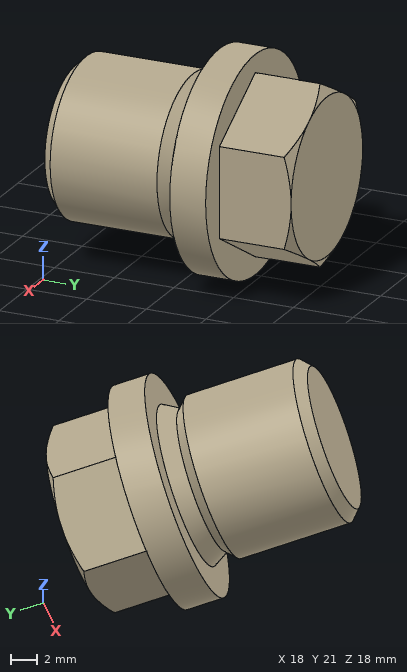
import cadquery as cq
import math


thread_diameter = 13.16
thread_core_diameter = 11.45
shank_length = 12.0
relief_root_diameter = 13.0
relief_angle = 30.0

flange_diameter = 18.0
flange_thickness = 3.0

head_sides = 6
head_across_flats = 13.0
head_height = 6.0
head_chamfer_angle = 30.0

thread_radius = thread_diameter / 2
core_radius = thread_core_diameter / 2
thread_chamfer = thread_radius - core_radius
relief_root_radius = relief_root_diameter / 2
relief_length = (relief_root_radius - core_radius) / math.tan(math.radians(relief_angle))
head_end = flange_thickness + head_height


def revolve_about_y(profile_points):
    """Turn a closed (radius, Y) outline about the Y axis."""
    profile = cq.Workplane("XY").polyline(profile_points).close()
    return profile.revolve(360, (0, 0, 0), (0, 1, 0))


def make_turned_body():
    """Threaded shank, conical undercut and flange in one outline."""
    flange_radius = flange_diameter / 2
    return revolve_about_y([
        (0, -shank_length),
        (core_radius, -shank_length),
        (thread_radius, -shank_length + thread_chamfer),
        (thread_radius, -relief_length - thread_chamfer),
        (core_radius, -relief_length),
        (relief_root_radius, 0),
        (flange_radius, 0),
        (flange_radius, flange_thickness),
        (0, flange_thickness),
    ])


def make_head():
    """Hexagon with flats facing +X and -X, its corners turned off by a cone."""
    across_corners = head_across_flats / math.cos(math.pi / head_sides)
    corner_radius = across_corners / 2
    end_circle_radius = head_across_flats / 2
    corner_drop = (corner_radius - end_circle_radius) * math.tan(math.radians(head_chamfer_angle))

    hexagon = (
        cq.Workplane("XZ", origin=(0, flange_thickness, 0))
        .transformed(rotate=(0, 0, 90))
        .polygon(head_sides, across_corners)
        .extrude(-head_height)
    )
    chamfer_envelope = revolve_about_y([
        (0, flange_thickness),
        (corner_radius, flange_thickness),
        (corner_radius, head_end - corner_drop),
        (end_circle_radius, head_end),
        (0, head_end),
    ])
    return hexagon.intersect(chamfer_envelope)


result = make_turned_body().union(make_head())